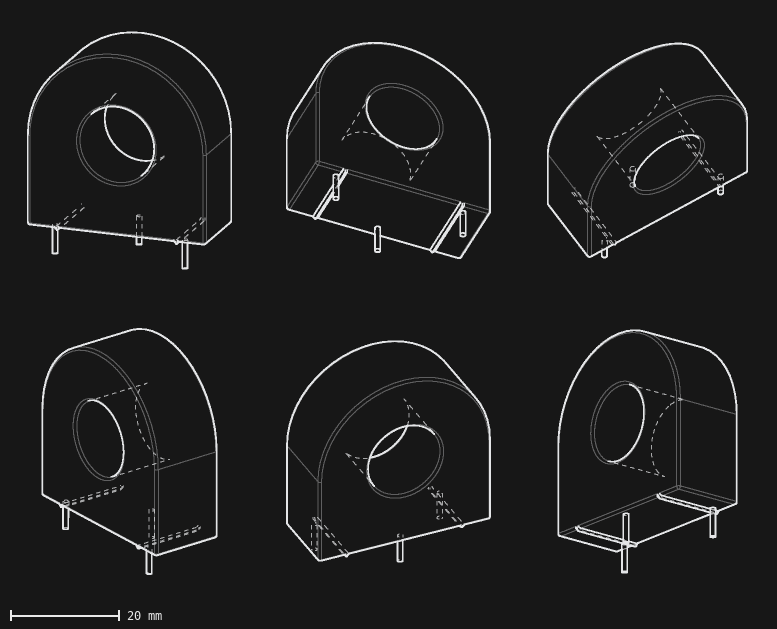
import cadquery as cq

case_width = 34.9
case_depth = 14.3
window_diameter = 14.6
edge_radius = 0.5

pin_diameter = 1.02
pin_length = 5.5
pin_embed = 1.0
pin_pitch_x = 12.7
pin_row_spacing = 10.16

standoff_spacing = 23.4
standoff_height = 0.5

crown_radius = case_width / 2
case_bottom = -crown_radius
back_face = case_depth / 2
pin_row = pin_row_spacing / 2
pin_places = [(-pin_pitch_x, -pin_row), (0, pin_row), (pin_pitch_x, -pin_row)]


def make_case():
    """Square-bottomed block whose top is a half round."""
    return (
        cq.Workplane("XZ", origin=(0, back_face, 0))
        .moveTo(-crown_radius, case_bottom)
        .lineTo(crown_radius, case_bottom)
        .lineTo(crown_radius, 0)
        .threePointArc((0, crown_radius), (-crown_radius, 0))
        .close()
        .extrude(case_depth)
    )


def make_standoff(x):
    """V-shaped rib under the full depth of the case, with 45 degree flanks.

    The profile is a square standing on its corner, its upper half sunk into the case.
    """
    return (
        cq.Workplane("XZ", origin=(x, back_face, case_bottom))
        .polyline([
            (-standoff_height, 0),
            (0, -standoff_height),
            (standoff_height, 0),
            (0, standoff_height),
        ])
        .close()
        .extrude(case_depth)
    )


def make_window():
    """Round opening through the full depth of the case."""
    return (
        cq.Workplane("XZ", origin=(0, back_face, 0))
        .circle(window_diameter / 2)
        .extrude(case_depth)
    )


def make_pins():
    """Three round terminals below the case, their tops sunk into it."""
    return (
        cq.Workplane("XY", origin=(0, 0, case_bottom - pin_length))
        .pushPoints(pin_places)
        .circle(pin_diameter / 2)
        .extrude(pin_length + pin_embed)
    )


body = make_case()
body = body.edges("|Y").edges("<Z").fillet(edge_radius)
for side in (-1, 1):
    body = body.union(make_standoff(side * standoff_spacing / 2))
body = body.cut(make_window())

body = body.faces("<Y or >Y").edges().fillet(edge_radius)

result = body.union(make_pins())